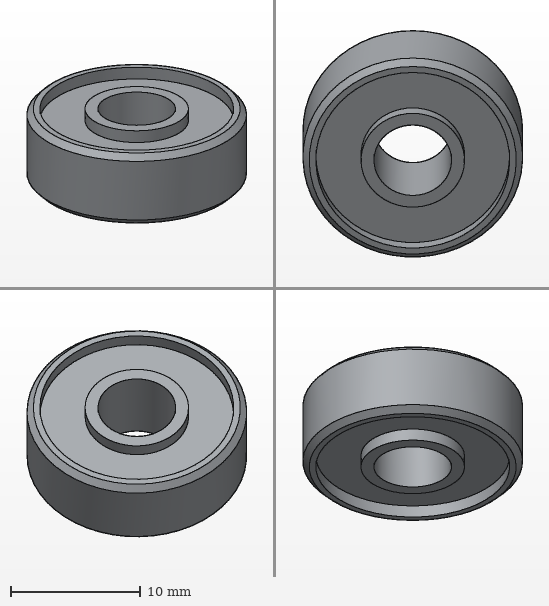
import cadquery as cq

outer_diameter = 17.0
width = 6.0
bore_diameter = 6.0
hub_diameter = 8.0
rim_inner_diameter = 15.0
edge_chamfer = 0.5
recess_depth = 1.0


def make_body():
    """Disc with chamfered outer edges and a through bore, centred on the origin."""
    disc = cq.Workplane("XY").cylinder(width, outer_diameter / 2)
    disc = disc.faces("<Z or >Z").edges().chamfer(edge_chamfer)
    bore = cq.Workplane("XY").cylinder(width, bore_diameter / 2)
    return disc.cut(bore)


def make_recess(floor_height):
    """Annular recess between hub and rim, starting at the given height."""
    return (
        cq.Workplane("XY")
        .workplane(offset=floor_height)
        .circle(rim_inner_diameter / 2)
        .circle(hub_diameter / 2)
        .extrude(recess_depth)
    )


upper_recess = make_recess(width / 2 - recess_depth)
lower_recess = make_recess(-width / 2)

result = make_body().cut(upper_recess).cut(lower_recess)